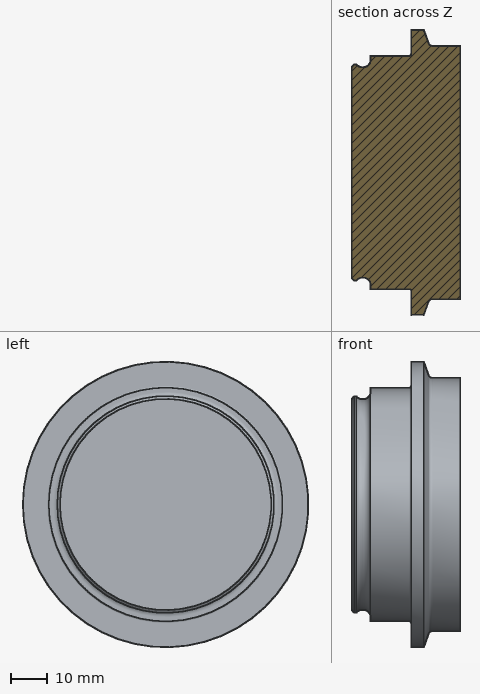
import cadquery as cq
import math


flange_radius = 77.5 / 2
rim_radius = 68.8 / 2
body_radius = 63.4 / 2
lip_radius = 58.8 / 2
groove_floor_radius = 57.25 / 2

lip_start = 0.7
groove_floor_start = 2.8
groove_floor_end = 3.25
body_start = 5.1
flange_start = 16.1
cone_start = 19.6
total_length = 29.5

groove_arc_radius = body_start - groove_floor_end
body_fillet = 0.5
rim_fillet = 1.0
cone_angle = math.radians(20)
diagonal = math.sqrt(0.5)

lip_height = lip_radius - groove_floor_radius
groove_center_height = groove_floor_radius + groove_arc_radius
lip_arc_length = math.sqrt(groove_arc_radius**2 - (groove_arc_radius - lip_height) ** 2)
lip_end = groove_floor_start - lip_arc_length
lip_arc_half_angle = math.asin(lip_arc_length / groove_arc_radius) / 2
lip_arc_middle = (
    groove_floor_start - groove_arc_radius * math.sin(lip_arc_half_angle),
    groove_center_height - groove_arc_radius * math.cos(lip_arc_half_angle),
)

body_arc_middle = (
    groove_floor_end + groove_arc_radius * diagonal,
    groove_center_height - groove_arc_radius * diagonal,
)

body_fillet_middle = (
    flange_start - body_fillet * (1 - diagonal),
    body_radius + body_fillet * (1 - diagonal),
)

rim_turn = math.pi / 2 - cone_angle
cone_end_radius = rim_radius + rim_fillet * (1 - math.cos(rim_turn))
cone_end = cone_start + (flange_radius - cone_end_radius) * math.tan(cone_angle)
rim_start = cone_end + rim_fillet * math.sin(rim_turn)
rim_fillet_middle = (
    rim_start - rim_fillet * math.sin(rim_turn / 2),
    rim_radius + rim_fillet * (1 - math.cos(rim_turn / 2)),
)

profile = (
    cq.Workplane("XY")
    .moveTo(0, 0)
    .lineTo(0, groove_floor_radius)
    .lineTo(lip_start, lip_radius)
    .lineTo(lip_end, lip_radius)
    .threePointArc(lip_arc_middle, (groove_floor_start, groove_floor_radius))
    .lineTo(groove_floor_end, groove_floor_radius)
    .threePointArc(body_arc_middle, (body_start, groove_center_height))
    .lineTo(body_start, body_radius)
    .lineTo(flange_start - body_fillet, body_radius)
    .threePointArc(body_fillet_middle, (flange_start, body_radius + body_fillet))
    .lineTo(flange_start, flange_radius)
    .lineTo(cone_start, flange_radius)
    .lineTo(cone_end, cone_end_radius)
    .threePointArc(rim_fillet_middle, (rim_start, rim_radius))
    .lineTo(total_length, rim_radius)
    .lineTo(total_length, 0)
    .close()
)

result = profile.revolve(360, (0, 0, 0), (1, 0, 0))